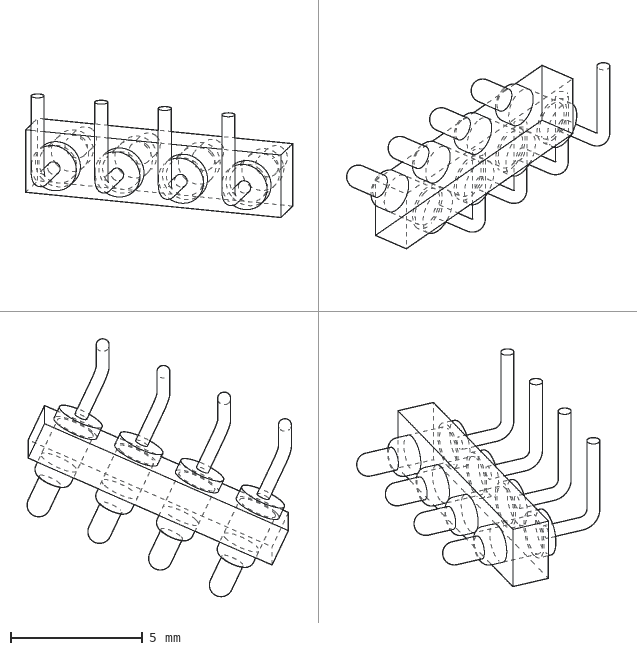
import cadquery as cq
import math

pin_count = 4
pitch = 2.54
housing_length = 10.2
housing_depth = 1.5
housing_height = 2.5

flange_diameter = 1.8
flange_thickness = 0.5
barrel_diameter = 1.5
barrel_projection = 0.8
plunger_diameter = 0.9
plunger_projection = 1.5

barrel_edge_radius = (barrel_diameter - plunger_diameter) / 2

tail_diameter = 0.5
tail_straight = 1.5
bend_radius = 0.5
tail_rise = 3.0

flange_back = -flange_thickness
barrel_front = housing_depth + barrel_projection
plunger_tip = barrel_front + plunger_projection
bend_start = flange_back - tail_straight

pin_positions = [((i - (pin_count - 1) / 2) * pitch, 0) for i in range(pin_count)]


def make_housing():
    """Rectangular block with one through hole per pin barrel."""
    block = cq.Workplane("XY").box(
        housing_length, housing_depth, housing_height, centered=(True, False, True)
    )
    holes = (
        cq.Workplane("XZ")
        .pushPoints(pin_positions)
        .circle(barrel_diameter / 2)
        .extrude(-housing_depth)
    )
    return block.cut(holes).solids()


def make_turned_body():
    """Flange, round-edged barrel and round-nosed plunger revolved about Y."""
    flange_radius = flange_diameter / 2
    barrel_radius = barrel_diameter / 2
    plunger_radius = plunger_diameter / 2
    diagonal = math.sqrt(0.5)

    edge_center_x = plunger_radius
    edge_center_y = barrel_front - barrel_edge_radius
    edge_offset = barrel_edge_radius * diagonal
    nose_center_y = plunger_tip - plunger_radius
    nose_offset = plunger_radius * diagonal

    return (
        cq.Workplane("XY")
        .moveTo(0, flange_back)
        .lineTo(flange_radius, flange_back)
        .lineTo(flange_radius, 0)
        .lineTo(barrel_radius, 0)
        .lineTo(barrel_radius, edge_center_y)
        .threePointArc(
            (edge_center_x + edge_offset, edge_center_y + edge_offset),
            (edge_center_x, barrel_front),
        )
        .lineTo(plunger_radius, nose_center_y)
        .threePointArc((nose_offset, nose_center_y + nose_offset), (0, plunger_tip))
        .close()
        .revolve(360, (0, 0), (0, 1))
    )


def make_tail():
    """Round wire running back along -Y, then bent up to +Z."""
    tail_y = bend_start - bend_radius
    bend_offset = bend_radius * math.sqrt(0.5)
    path = (
        cq.Workplane("YZ")
        .moveTo(flange_back, 0)
        .lineTo(bend_start, 0)
        .threePointArc(
            (bend_start - bend_offset, bend_radius - bend_offset),
            (tail_y, bend_radius),
        )
        .lineTo(tail_y, bend_radius + tail_rise)
    )
    return (
        cq.Workplane("XZ", origin=(0, flange_back, 0))
        .circle(tail_diameter / 2)
        .sweep(path)
    )


def make_pin():
    """One complete contact pin with its axis on Y."""
    return make_turned_body().union(make_tail()).solids()


housing = make_housing()
pin = make_pin()
pins = [pin.val().translate(cq.Vector(x, 0, z)) for x, z in pin_positions]

result = cq.Compound.makeCompound([housing.val(), *pins])